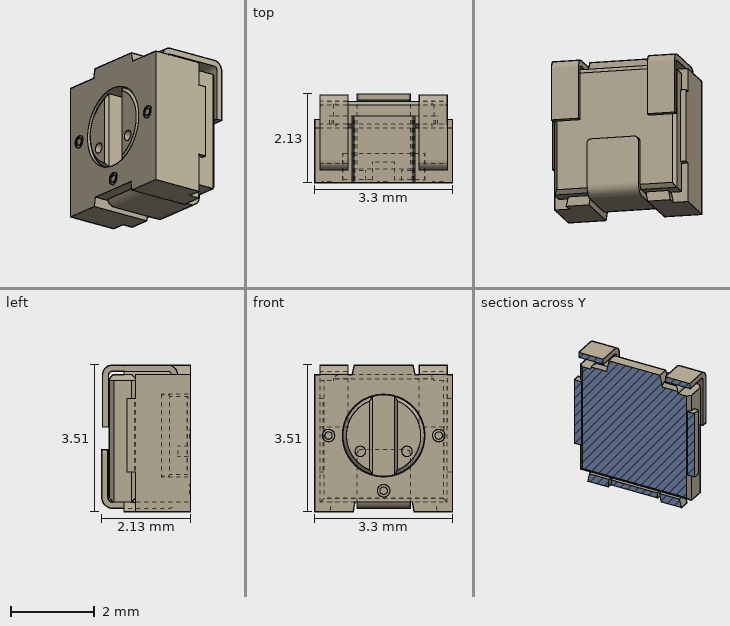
import cadquery as cq


body_width = 3.30
body_top = 1.457
body_bottom = -1.825
body_depth = 1.32
rib_depth = 1.60

tongue_depth = 1.52
tongue_top = 0.89
tongue_bottom = -0.875
tongue_thickness = 0.20

tab_top = 1.685
tab_half_top = 0.705
tab_half_base = 0.755
notch_ceiling = -1.595
notch_half_top = 0.685
notch_half_base = 0.725

foot_outer_top = 1.24
foot_outer_base = 1.29

cover_width = 3.04
cover_back = 1.95
cover_shoulder = 1.315
cover_raised_width = 2.40
cover_raised_radius = body_top - cover_shoulder
cover_back_bevel = (0.09, 0.105)
cover_side_back_bevel = (0.09, 0.11)
cover_front_bevel = 0.09

bore_diameter = 1.98
rotor_diameter = 1.95
rotor_face_diameter = 1.78
bore_depth = 0.70
slot_width = 0.525
slot_depth = 0.50
slot_chamfer = 0.075
pit_diameter = 0.25
pit_depth = 0.30
pit_x = 0.558
pit_z = -0.38

ring_outer_diameter = 0.30
ring_inner_diameter = 0.18
ring_depth = 0.03
ring_offset = 1.32

strip_thickness = 0.15
front_bend_radius = 0.225
terminal_front = 0.315
root_embed = 0.15
upper_terminal_width = 0.675
upper_terminal_x = 1.188
upper_terminal_back = 2.11
upper_terminal_tip = 0.20
upper_bend_radius = 0.23
lower_terminal_width = 1.275
lower_terminal_back = 2.13
lower_terminal_bottom = -1.745
lower_terminal_tip = -0.335
lower_bend_radius = 0.27
lower_tip_radius = 0.105


def front_profile(points, start, end):
    """Prism between two depths; points are (x, z) in the front plane."""
    plane = cq.Workplane("XZ", origin=(0, start, 0))
    return plane.polyline(points).close().extrude(start - end)


def front_cylinder(diameter, start, end, x=0, z=0):
    """Cylinder along Y between two depths."""
    plane = cq.Workplane("XZ", origin=(x, start, z))
    return plane.circle(diameter / 2).extrude(start - end)


def front_block(half_width, bottom, top, start, end):
    """Box centred on x = 0 between two depths."""
    corners = [(-half_width, bottom), (half_width, bottom), (half_width, top), (-half_width, top)]
    return front_profile(corners, start, end)


def trapezoid(half_bottom, bottom, half_top, top):
    return [(-half_bottom, bottom), (half_bottom, bottom), (half_top, top), (-half_top, top)]


def make_body():
    half_width = body_width / 2
    body = front_block(half_width, body_bottom, body_top, 0, body_depth)
    body = body.union(front_profile(trapezoid(tab_half_base, body_top, tab_half_top, tab_top), 0, rib_depth))

    tab_root = front_block(tab_half_base, tongue_top, body_top, body_depth, rib_depth)
    body = body.union(tab_root)

    tongues = front_block(half_width, tongue_bottom, tongue_top, body_depth, tongue_depth)
    inner_half_width = half_width - tongue_thickness
    inner = front_block(inner_half_width, tongue_bottom, tongue_top, body_depth, tongue_depth)
    body = body.union(tongues.cut(inner))

    feet = trapezoid(foot_outer_base, body_bottom, foot_outer_top, notch_ceiling)
    body = body.union(front_profile(feet, body_depth, rib_depth))
    notch = trapezoid(notch_half_base, body_bottom, notch_half_top, notch_ceiling)
    return body.cut(front_profile(notch, 0, rib_depth))


def make_cover():
    """Stepped outline extruded along Y, with bevelled front and back rims."""
    half_width = cover_width / 2
    shelf = front_block(half_width, notch_ceiling, cover_shoulder, body_depth, cover_back)
    raised = front_block(cover_raised_width / 2, notch_ceiling, body_top, body_depth, cover_back)
    raised = raised.edges("|Y and >Z").fillet(cover_raised_radius)
    cover = shelf.union(raised)

    bevel_y, bevel_z = cover_back_bevel
    side_outline = [
        (body_depth, notch_ceiling + cover_front_bevel),
        (body_depth + cover_front_bevel, notch_ceiling),
        (cover_back - bevel_y, notch_ceiling),
        (cover_back, notch_ceiling + bevel_z),
        (cover_back, body_top - bevel_z),
        (cover_back - bevel_y, body_top),
        (body_depth + cover_front_bevel, body_top),
        (body_depth, body_top - cover_front_bevel),
    ]
    side_prism = cq.Workplane("YZ").polyline(side_outline).close().extrude(half_width, both=True)

    bevel_x, bevel_y = cover_side_back_bevel
    plan_outline = [
        (half_width - cover_front_bevel, body_depth),
        (half_width, body_depth + cover_front_bevel),
        (half_width, cover_back - bevel_y),
        (half_width - bevel_x, cover_back),
        (bevel_x - half_width, cover_back),
        (-half_width, cover_back - bevel_y),
        (-half_width, body_depth + cover_front_bevel),
        (cover_front_bevel - half_width, body_depth),
    ]
    plan = cq.Workplane("XY", origin=(0, 0, notch_ceiling)).polyline(plan_outline).close()
    plan_prism = plan.extrude(body_top - notch_ceiling)
    return cover.intersect(side_prism).intersect(plan_prism)


def cut_rotor(part):
    """Bore the front face and stand the slotted rotor in the bore."""
    edge_chamfer = (rotor_diameter - rotor_face_diameter) / 2
    rotor = front_cylinder(rotor_diameter, 0, bore_depth).faces("<Y").chamfer(edge_chamfer)

    half_slot = slot_width / 2
    half_mouth = half_slot + slot_chamfer
    reach = bore_diameter / 2
    slot_outline = [
        (-half_mouth, 0),
        (-half_slot, slot_chamfer),
        (-half_slot, slot_depth),
        (half_slot, slot_depth),
        (half_slot, slot_chamfer),
        (half_mouth, 0),
    ]
    slot = cq.Workplane("XY").polyline(slot_outline).close().extrude(reach, both=True)
    rotor = rotor.cut(slot)
    for side in (-1, 1):
        rotor = rotor.cut(front_cylinder(pit_diameter, 0, pit_depth, side * pit_x, pit_z))

    return part.cut(front_cylinder(bore_diameter, 0, bore_depth)).union(rotor)


def engrave_rings(part):
    for x, z in ((-ring_offset, 0), (ring_offset, 0), (0, -ring_offset)):
        ring = front_cylinder(ring_outer_diameter, 0, ring_depth, x, z)
        ring = ring.cut(front_cylinder(ring_inner_diameter, 0, ring_depth, x, z))
        part = part.cut(ring)
    return part


def bent_strip(width, back, level, tip, root, back_radius):
    """U-shaped strip: front leg down to root, run along Y at level, back leg down to tip."""
    front = terminal_front
    inner_front = front_bend_radius - strip_thickness
    inner_back = back_radius - strip_thickness
    under = level - strip_thickness
    return (
        cq.Workplane("YZ")
        .moveTo(front, root)
        .lineTo(front, level - front_bend_radius)
        .radiusArc((front + front_bend_radius, level), front_bend_radius)
        .lineTo(back - back_radius, level)
        .radiusArc((back, level - back_radius), back_radius)
        .lineTo(back, tip)
        .lineTo(back - strip_thickness, tip)
        .lineTo(back - strip_thickness, under - inner_back)
        .radiusArc((back - back_radius, under), -inner_back)
        .lineTo(front + front_bend_radius, under)
        .radiusArc((front + strip_thickness, under - inner_front), -inner_front)
        .lineTo(front + strip_thickness, root)
        .close()
        .extrude(width / 2, both=True)
    )


def make_upper_terminal(x):
    strip = bent_strip(
        upper_terminal_width,
        upper_terminal_back,
        tab_top,
        upper_terminal_tip,
        body_top - root_embed,
        upper_bend_radius,
    )
    return strip.translate((x, 0, 0))


def make_lower_terminal():
    """Same strip turned upside down, with rounded tip corners."""
    strip = bent_strip(
        lower_terminal_width,
        lower_terminal_back,
        -lower_terminal_bottom,
        -lower_terminal_tip,
        -notch_ceiling - root_embed,
        lower_bend_radius,
    )
    strip = strip.edges("<Z and |Y").fillet(lower_tip_radius)
    return strip.mirror("XY")


result = make_body().union(make_cover())
result = engrave_rings(cut_rotor(result))
for side in (-1, 1):
    result = result.union(make_upper_terminal(side * upper_terminal_x))
result = result.union(make_lower_terminal())